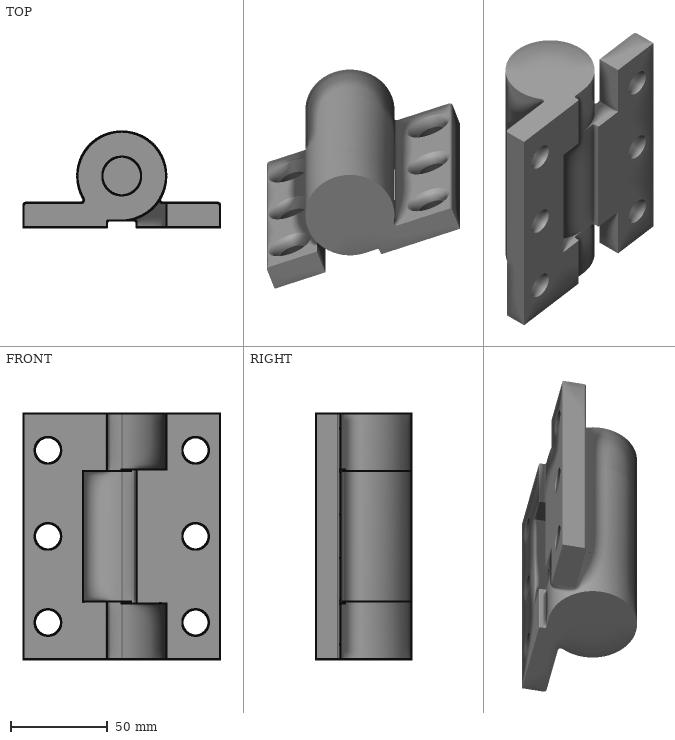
import cadquery as cq
import math


hinge_width = 101.6
hinge_height = 127.0
barrel_radius = 23.0
pin_diameter = 20.0

leaf_thickness = 12.7
back_recess_depth = 3.5
back_recess_half_width = 7.6
leaf_back_y = -barrel_radius - back_recess_depth
leaf_front_y = leaf_back_y + leaf_thickness
leaf_tip_x = hinge_width / 2

leaf_round = 1.5
recess_inner_fillet = 1.0
recess_outer_round = 0.5

end_knuckle_length = 29.8
middle_leaf_setback = 28.9
middle_notch_x = 20.0
end_notch_x = 23.0
half_height = hinge_height / 2
end_knuckle_z = half_height - end_knuckle_length
middle_web_z = half_height - middle_leaf_setback

hole_diameter = 13.5
hole_x = 38.1
hole_spacing = 44.45
straight_hole_depth = 8.0
countersink_depth = leaf_thickness - straight_hole_depth
countersink_diameter = hole_diameter + 2 * countersink_depth


def z_cylinder(radius, z_low, z_high):
    """Round bar on the hinge axis."""
    return cq.Workplane("XY").workplane(offset=z_low).circle(radius).extrude(z_high - z_low)


def box_between(x_range, z_range):
    """Block that spans the leaf and its fillet in Y, for cutting a notch."""
    size_x = x_range[1] - x_range[0]
    size_y = leaf_thickness + 2 * leaf_round
    size_z = z_range[1] - z_range[0]
    block = cq.Workplane("XY").box(size_x, size_y, size_z, centered=False)
    return block.translate((x_range[0], leaf_back_y, z_range[0]))


def leaf_with_barrel(side):
    """Full-height leaf joined to a barrel; side is -1 for the left leaf, +1 for the right."""
    fillet_y = leaf_front_y + leaf_round
    fillet_x = math.sqrt((barrel_radius + leaf_round) ** 2 - fillet_y ** 2)
    on_barrel = barrel_radius / (barrel_radius + leaf_round)
    tangent_x = fillet_x * on_barrel
    tangent_y = fillet_y * on_barrel

    leaf_angle = 3 * math.pi / 2
    barrel_angle = math.atan2(-fillet_y, -fillet_x)
    middle_angle = (leaf_angle + barrel_angle) / 2
    fillet_middle_x = fillet_x + leaf_round * math.cos(middle_angle)
    fillet_middle_y = fillet_y + leaf_round * math.sin(middle_angle)

    profile = (
        cq.Workplane("XY")
        .workplane(offset=-half_height)
        .moveTo(0, -barrel_radius)
        .lineTo(side * back_recess_half_width, -barrel_radius)
        .lineTo(side * back_recess_half_width, leaf_back_y)
        .lineTo(side * leaf_tip_x, leaf_back_y)
        .lineTo(side * leaf_tip_x, leaf_front_y)
        .lineTo(side * fillet_x, leaf_front_y)
        .threePointArc((side * fillet_middle_x, fillet_middle_y), (side * tangent_x, tangent_y))
        .threePointArc((-side * tangent_y, tangent_x), (0, -barrel_radius))
        .close()
    )
    return profile.extrude(hinge_height)


def round_vertical_edge(body, x, y, radius):
    """Round the full-height edge that stands at (x, y)."""
    return body.edges(cq.selectors.NearestToPointSelector((x, y, 0))).fillet(radius)


def screw_hole():
    """Solid in the shape of a screw hole along Y, countersunk at the front of the leaf."""
    hole_radius = hole_diameter / 2
    half_section = (
        cq.Workplane("XY")
        .moveTo(0, leaf_back_y)
        .lineTo(hole_radius, leaf_back_y)
        .lineTo(hole_radius, leaf_back_y + straight_hole_depth)
        .lineTo(countersink_diameter / 2, leaf_front_y)
        .lineTo(0, leaf_front_y)
        .close()
    )
    return half_section.revolve(360, (0, 0, 0), (0, 1, 0))


def rounded_leaf(side):
    """Leaf and barrel with the leaf tip and recess edges rounded and the screw holes drilled."""
    body = leaf_with_barrel(side)
    wall_x = side * back_recess_half_width
    body = round_vertical_edge(body, side * leaf_tip_x, leaf_front_y, leaf_round)
    body = round_vertical_edge(body, wall_x, -barrel_radius, recess_inner_fillet)
    body = round_vertical_edge(body, wall_x, leaf_back_y, recess_outer_round)
    for row in (-1, 0, 1):
        hole = screw_hole().translate((side * hole_x, 0, row * hole_spacing))
        body = body.cut(hole)
    return body


def make_left_leaf():
    """Leaf with a knuckle at each end, bored for the pin."""
    body = rounded_leaf(-1)
    middle_span = (-end_knuckle_z, end_knuckle_z)
    body = body.cut(z_cylinder(barrel_radius, *middle_span))
    body = body.cut(box_between((-middle_notch_x, barrel_radius), middle_span))
    return body.cut(z_cylinder(pin_diameter / 2, -half_height, half_height))


def make_right_leaf():
    """Leaf with the middle knuckle, in one piece with the pin that runs through the end knuckles."""
    body = rounded_leaf(1)
    knuckle_spans = ((-half_height, -end_knuckle_z), (end_knuckle_z, half_height))
    notch_spans = ((-half_height, -middle_web_z), (middle_web_z, half_height))
    for span in knuckle_spans:
        body = body.cut(z_cylinder(barrel_radius, *span))
    for span in notch_spans:
        body = body.cut(box_between((-barrel_radius, end_notch_x), span))
    return body.union(z_cylinder(pin_diameter / 2, -half_height, half_height))


left_leaf = make_left_leaf()
right_leaf = make_right_leaf()

result = cq.Compound.makeCompound([left_leaf.val(), right_leaf.val()])